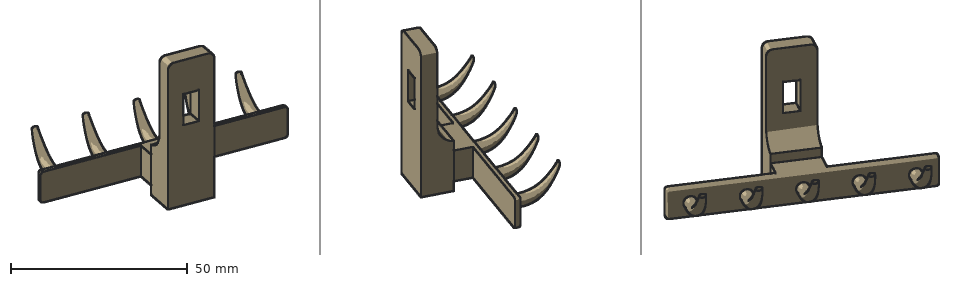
import cadquery as cq
import math

bracket_width = 15.0
bracket_height = 47.0
base_depth = 10.0
wall_thickness = base_depth / 2
base_front_height = 16.2
cove_radius = 6.0
top_corner_radius = 2.0
slot_width = 5.0
slot_height = 10.0
slot_bottom = 26.0

bar_length = 80
bar_height = 10.0
bar_thickness = 2.0
bar_bottom = 3.1
bar_front = 17.8
bar_edge_radius = bar_thickness / 2
bar_center_z = bar_bottom + bar_height / 2

overall_depth = 31.8
hook_count = 5
hook_spacing = 16.5
hook_reach = overall_depth - bar_front
hook_rise = 9.7
hook_rise_power = 3
hook_root_diameter = 4
hook_tip_width = 2.0
hook_tip_height = 1.3
hook_taper_power = 4
hook_section_count = 7


def make_bracket():
    cove_x = -wall_thickness - cove_radius
    edge_offset = -base_depth - cove_x
    cove_top = base_front_height + math.sqrt(cove_radius**2 - edge_offset**2)
    mid_angle = math.atan2(base_front_height - cove_top, edge_offset) / 2
    cove_middle = (
        cove_x + cove_radius * math.cos(mid_angle),
        cove_top + cove_radius * math.sin(mid_angle),
    )
    body = (
        cq.Workplane("XZ")
        .moveTo(0, 0)
        .lineTo(-base_depth, 0)
        .lineTo(-base_depth, base_front_height)
        .threePointArc(cove_middle, (-wall_thickness, cove_top))
        .lineTo(-wall_thickness, bracket_height)
        .lineTo(0, bracket_height)
        .close()
        .extrude(bracket_width / 2, both=True)
    )
    body = body.faces(">Z").edges("|X").fillet(top_corner_radius)
    slot = cq.Workplane("XY").box(2 * base_depth, slot_width, slot_height)
    return body.cut(slot.translate((0, 0, slot_bottom + slot_height / 2)))


def tapered(root_size, tip_size, fraction):
    return root_size + (tip_size - root_size) * fraction**hook_taper_power


def make_hook(y):
    """Loft upright elliptical sections along a cubic rise from the bar to the tip."""
    sections = []
    for index in range(hook_section_count):
        fraction = index / (hook_section_count - 1)
        center_x = -bar_front - hook_reach * fraction
        center_z = bar_center_z + hook_rise * fraction**hook_rise_power
        width = tapered(hook_root_diameter, hook_tip_width, fraction)
        height = tapered(hook_root_diameter, hook_tip_height, fraction)
        plane = cq.Plane(origin=(center_x, y, center_z), xDir=(0, 1, 0), normal=(-1, 0, 0))
        sections.append(cq.Workplane(plane).ellipse(width / 2, height / 2).wires().val())
    return cq.Workplane(cq.Solid.makeLoft(sections))


def make_rack():
    bar = cq.Workplane("XY").box(bar_thickness, bar_length, bar_height)
    bar = bar.edges("|X or <X").fillet(bar_edge_radius)
    bar = bar.translate((bar_thickness / 2 - bar_front, 0, bar_center_z))
    arm_length = bar_front - bar_thickness - base_depth
    arm = cq.Workplane("XY").box(arm_length, bracket_width, bar_height)
    rack = bar.union(arm.translate((-base_depth - arm_length / 2, 0, bar_center_z)))
    for index in range(hook_count):
        rack = rack.union(make_hook((index - (hook_count - 1) / 2) * hook_spacing))
    return rack


bracket = make_bracket()
rack = make_rack()
result = cq.Compound.makeCompound([bracket.val(), rack.val()])